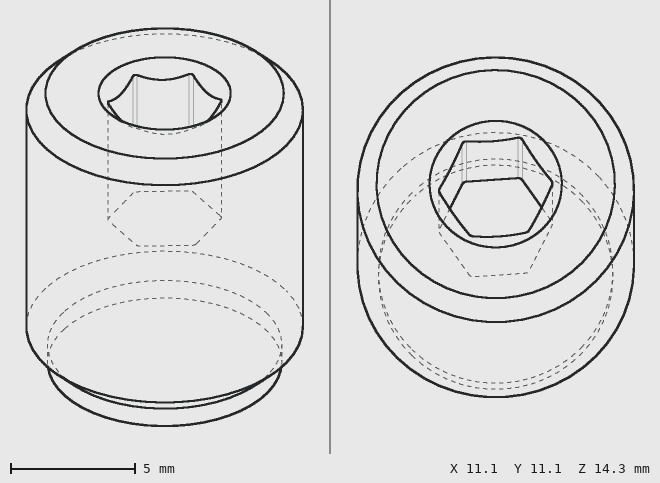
import cadquery as cq
import math

height = 14.27
body_diameter = 11.1
top_chamfer = 0.77

neck_diameter = 9.4
neck_height = 0.84
point_height = 1.4
tip_diameter = 0.4

hex_across_flats = 4.0
hex_depth = 6.0
hex_corner_radius = 0.2
countersink_diameter = 5.31
countersink_half_angle = 45.0

body_radius = body_diameter / 2
neck_radius = neck_diameter / 2
neck_top = point_height + neck_height
body_bottom = neck_top + body_radius - neck_radius


def make_body():
    """Revolve the half profile of the pointed screw about Z."""
    return (
        cq.Workplane("XZ")
        .moveTo(0, 0)
        .lineTo(tip_diameter / 2, 0)
        .lineTo(neck_radius, point_height)
        .lineTo(neck_radius, neck_top)
        .lineTo(body_radius, body_bottom)
        .lineTo(body_radius, height - top_chamfer)
        .lineTo(body_radius - top_chamfer, height)
        .lineTo(0, height)
        .close()
        .revolve(360, (0, 0, 0), (0, 1, 0))
    )


def make_hex_socket():
    """Hexagonal prism with rounded corners and two flats facing +X and -X."""
    across_corners = hex_across_flats / math.cos(math.radians(30))
    return (
        cq.Workplane("XY")
        .workplane(offset=height - hex_depth)
        .transformed(rotate=(0, 0, 90))
        .polygon(6, across_corners)
        .extrude(hex_depth)
        .edges("|Z")
        .fillet(hex_corner_radius)
    )


def make_countersink():
    """Cone that widens the mouth of the socket, with its apex on the axis."""
    radius = countersink_diameter / 2
    depth = radius / math.tan(math.radians(countersink_half_angle))
    return cq.Workplane("XY").add(
        cq.Solid.makeCone(radius, 0, depth, cq.Vector(0, 0, height), cq.Vector(0, 0, -1))
    )


result = make_body().cut(make_hex_socket()).cut(make_countersink())